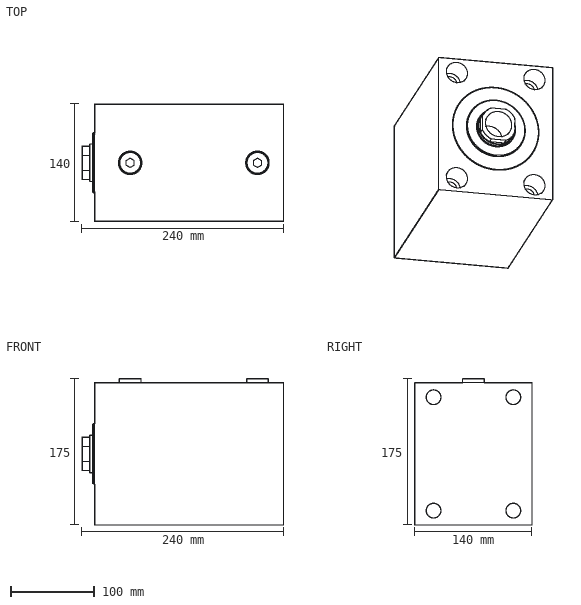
import cadquery as cq
import math

overall_length = 240.0
overall_height = 175.0

block_length = 225.0
block_width = 140.0
block_height = 170.0
block_edge_chamfer = 0.5

mount_spacing_y = 95.0
mount_spacing_z = 135.0
mount_hole_diameter = 17.3
mount_bore_diameter = 26.0
mount_bore_depth = 36.0

flange_diameter = 106.0
flange_thickness = 19.2
flange_chamfer = 0.7
collar_diameter = 72.0
collar_height = 2.5
collar_chamfer = 1.0
gland_mouth_diameter = 47.8
gland_mouth_depth = 1.2

rod_diameter = 45.0
rod_shoulder_height = 6.0
rod_chamfer = 0.5
rod_projection = overall_length - block_length
shank_diameter = 43.7
shank_flat_width = 39.8
rod_hole_diameter = 32.2
rod_end = 72.0
rod_hole_depth = 48.0
drill_point_angle = 118.0

plug_positions_x = [42.2, 194.0]
plug_diameter = 26.2
plug_height = overall_height - block_height
plug_depth = 9.5
plug_chamfer = 0.7
plug_hex_width = 9.5
plug_hex_depth = 3.0
hex_sides = 6
spotface_diameter = 28.0
spotface_depth = 1.0


def x_cylinder(diameter, start, end):
    """Cylinder on the bore axis between two X positions."""
    return cq.Workplane("YZ", origin=(start, 0, 0)).circle(diameter / 2).extrude(end - start)


def make_housing():
    block = cq.Workplane("XY").box(
        block_length, block_width, block_height, centered=(False, True, True)
    )
    block = block.edges("|X").chamfer(block_edge_chamfer)

    mounts = cq.Workplane("YZ").rect(mount_spacing_y, mount_spacing_z, forConstruction=True).vertices()
    block = block.cut(mounts.circle(mount_hole_diameter / 2).extrude(block_length))
    block = block.cut(mounts.circle(mount_bore_diameter / 2).extrude(mount_bore_depth))

    block = block.cut(x_cylinder(flange_diameter, 0, flange_thickness))

    block = block.cut(x_cylinder(rod_diameter, 0, rod_end))

    top = cq.Workplane("XY", origin=(0, 0, block_height / 2)).pushPoints([(x, 0) for x in plug_positions_x])
    block = block.cut(top.circle(plug_diameter / 2).extrude(-plug_depth))
    return block.cut(top.circle(spotface_diameter / 2).extrude(-spotface_depth))


def make_gland():
    flange = x_cylinder(flange_diameter, 0, flange_thickness).faces("<X").chamfer(flange_chamfer)
    collar = x_cylinder(collar_diameter, -collar_height, 0).faces("<X").chamfer(collar_chamfer)
    gland = flange.union(collar)

    gland = gland.cut(x_cylinder(rod_diameter, -collar_height, flange_thickness))
    return gland.cut(x_cylinder(gland_mouth_diameter, -collar_height, gland_mouth_depth - collar_height))


def make_rod():
    rod = x_cylinder(rod_diameter, -rod_shoulder_height, rod_end).faces("<X").chamfer(rod_chamfer)
    shank = x_cylinder(shank_diameter, -rod_projection, -rod_shoulder_height)
    flats = cq.Workplane("YZ", origin=(-rod_projection, 0, 0)).rect(shank_flat_width, shank_flat_width)
    rod = rod.union(shank.intersect(flats.extrude(rod_projection - rod_shoulder_height)))

    hole_radius = rod_hole_diameter / 2
    point_length = hole_radius / math.tan(math.radians(drill_point_angle / 2))
    hole = (
        cq.Workplane("XY", origin=(-rod_projection, 0, 0))
        .polyline([(0, 0), (0, hole_radius), (rod_hole_depth, hole_radius), (rod_hole_depth + point_length, 0)])
        .close()
        .revolve(360, (0, 0, 0), (1, 0, 0))
    )
    return rod.cut(hole)


def make_plug(position_x):
    plug = (
        cq.Workplane("XY", origin=(position_x, 0, block_height / 2 - plug_depth))
        .circle(plug_diameter / 2)
        .extrude(plug_depth + plug_height)
        .faces(">Z")
        .chamfer(plug_chamfer)
    )
    hex_corner_diameter = plug_hex_width / math.cos(math.pi / hex_sides)
    socket = (
        cq.Workplane("XY", origin=(position_x, 0, block_height / 2 + plug_height))
        .transformed(rotate=(0, 0, 90))
        .polygon(hex_sides, hex_corner_diameter)
        .extrude(-plug_hex_depth)
    )
    return plug.cut(socket)


housing = make_housing()
gland = make_gland()
rod = make_rod()
plugs = [make_plug(x) for x in plug_positions_x]

result = cq.Compound.makeCompound([
    housing.val(),
    gland.val(),
    rod.val(),
    *[plug.val() for plug in plugs],
])